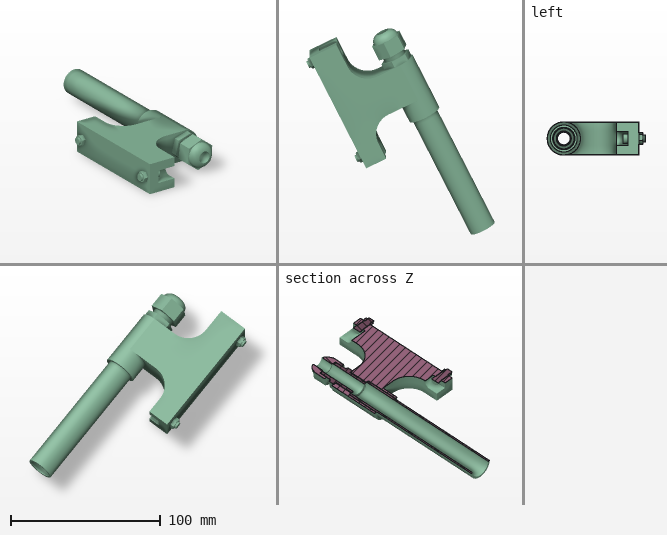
import cadquery as cq
import math

TOTAL_LENGTH = 159.0

FOOT_LENGTH = 85.0
FOOT_LEFT = TOTAL_LENGTH - FOOT_LENGTH
FOOT_FRONT = -50.2
LEFT_ARM_HEIGHT = 15.0
RIGHT_ARM_HEIGHT = 20.0
STEM_LENGTH = 26.9
ARM_FILLET = 15.0
SLEEVE_DIAMETER = 22.3
FLAT_HALF_WIDTH = 1.7
BRACKET_THICKNESS = 2 * math.sqrt((SLEEVE_DIAMETER / 2) ** 2 - FLAT_HALF_WIDTH**2)
SLEEVE_LENGTH = 39.9
SLEEVE_LEFT = 87.5
SLEEVE_RIGHT = SLEEVE_LEFT + SLEEVE_LENGTH
STEM_LEFT = SLEEVE_RIGHT - STEM_LENGTH

TUBE_DIAMETER = 18.0
TUBE_BORE = 15.0
SOCKET_DEPTH = 25.0
TUBE_LENGTH = SLEEVE_LEFT + SOCKET_DEPTH

THREAD_HOLE = 14.0
THREAD_DIAMETER = 13.8
GLAND_BORE = 10.0
GLAND_HEX_FLATS = 18.1
GLAND_HEX_LENGTH = 4.5
GLAND_HEX_ANGLE = 16.6
NECK_DIAMETER = 15.5
CAP_GAP = 3.3
CAP_HEX_FLATS = 19.1
CAP_HEX_LENGTH = 10.5
CAP_HEX_ANGLE = 22.3
DOME_DIAMETER = 18.0
DOME_LENGTH = 5.2
DOME_ARC_RADIUS = 5.7
CAP_HOLE = 8.5
NECK_IN_CAP = 6.4
CAP_LEFT = SLEEVE_RIGHT + GLAND_HEX_LENGTH + CAP_GAP
NECK_END = CAP_LEFT + NECK_IN_CAP

LEFT_SCREW_INSET = 6.5
RIGHT_SCREW_INSET = 6.2
SCREW_DIAMETER = 5.0
SCREW_OVERHANG = 4.3
HEAD_DIAMETER = 6.4
HEAD_HEIGHT = 3.3
SLOT_WIDTH = 9.0
SLOT_FLOOR_THICKNESS = 7.2
NUT_FLATS = 6.8
NUT_CHAMFER = 0.5
NUT_HEIGHT = 2.9
LEFT_NUT_ANGLE = 20.0
RIGHT_NUT_ANGLE = 6.7
SLOT_FLOOR = FOOT_FRONT + SLOT_FLOOR_THICKNESS
LEFT_SCREW_X = FOOT_LEFT + LEFT_SCREW_INSET
RIGHT_SCREW_X = TOTAL_LENGTH - RIGHT_SCREW_INSET


def rod(diameter, start, end):
    """Cylinder on the X axis between two X positions."""
    return cq.Workplane("YZ", origin=(start, 0, 0)).circle(diameter / 2).extrude(end - start)


def hexagon(plane, flats, angle, length):
    """Hexagonal prism with one corner turned by the angle from the plane's local X."""
    corners = flats / math.cos(math.radians(30))
    return plane.transformed(rotate=(0, 0, angle)).polygon(6, corners).extrude(length)


def front_plane(x, y):
    """Plane at a screw axis that faces -Y, with local X along +X."""
    return cq.Workplane("XZ", origin=(x, y, 0))


def head_slot(screw_x, arm_end):
    """Slot for a screw head: round about the screw and open at the end of its arm."""
    depth = RIGHT_ARM_HEIGHT - SLOT_FLOOR_THICKNESS
    round_end = front_plane(screw_x, SLOT_FLOOR).circle(SLOT_WIDTH / 2).extrude(-depth)
    channel = (
        front_plane((screw_x + arm_end) / 2, SLOT_FLOOR)
        .rect(abs(arm_end - screw_x), SLOT_WIDTH)
        .extrude(-depth)
    )
    return round_end.union(channel)


def make_bracket():
    left_arm_top = FOOT_FRONT + LEFT_ARM_HEIGHT
    right_arm_top = FOOT_FRONT + RIGHT_ARM_HEIGHT
    plate = (
        cq.Workplane("XY", origin=(0, 0, -BRACKET_THICKNESS / 2))
        .moveTo(FOOT_LEFT, FOOT_FRONT)
        .lineTo(TOTAL_LENGTH, FOOT_FRONT)
        .lineTo(TOTAL_LENGTH, right_arm_top)
        .lineTo(SLEEVE_RIGHT + ARM_FILLET, right_arm_top)
        .radiusArc((SLEEVE_RIGHT, right_arm_top + ARM_FILLET), ARM_FILLET)
        .lineTo(SLEEVE_RIGHT, 0)
        .lineTo(STEM_LEFT, 0)
        .lineTo(STEM_LEFT, left_arm_top + ARM_FILLET)
        .radiusArc((STEM_LEFT - ARM_FILLET, left_arm_top), ARM_FILLET)
        .lineTo(FOOT_LEFT, left_arm_top)
        .close()
        .extrude(BRACKET_THICKNESS)
    )
    sleeve = rod(SLEEVE_DIAMETER, SLEEVE_LEFT, SLEEVE_RIGHT)
    flat_slab = cq.Workplane("XY").box(STEM_LENGTH, SLEEVE_DIAMETER, SLEEVE_DIAMETER)
    slab_x = (STEM_LEFT + SLEEVE_RIGHT) / 2
    slab_z = (BRACKET_THICKNESS + SLEEVE_DIAMETER) / 2
    for side in (-1, 1):
        sleeve = sleeve.cut(flat_slab.translate((slab_x, 0, side * slab_z)))
    bracket = plate.union(sleeve)
    bracket = bracket.cut(rod(TUBE_DIAMETER, SLEEVE_LEFT, TUBE_LENGTH))
    bracket = bracket.cut(rod(THREAD_HOLE, TUBE_LENGTH, SLEEVE_RIGHT))
    for screw_x, arm_end in ((LEFT_SCREW_X, FOOT_LEFT), (RIGHT_SCREW_X, TOTAL_LENGTH)):
        screw_hole = front_plane(screw_x, SLOT_FLOOR).circle(SCREW_DIAMETER / 2).extrude(SLOT_FLOOR_THICKNESS)
        bracket = bracket.cut(screw_hole).cut(head_slot(screw_x, arm_end))
    return bracket


def make_tube():
    return rod(TUBE_DIAMETER, 0, TUBE_LENGTH).cut(rod(TUBE_BORE, 0, TUBE_LENGTH))


def make_gland_body():
    hex_plane = cq.Workplane("YZ", origin=(SLEEVE_RIGHT, 0, 0))
    body = hexagon(hex_plane, GLAND_HEX_FLATS, GLAND_HEX_ANGLE, GLAND_HEX_LENGTH)
    body = body.union(rod(THREAD_DIAMETER, TUBE_LENGTH, SLEEVE_RIGHT))
    body = body.union(rod(NECK_DIAMETER, SLEEVE_RIGHT, NECK_END))
    return body.cut(rod(GLAND_BORE, TUBE_LENGTH, NECK_END))


def make_gland_cap():
    dome_start = CAP_LEFT + CAP_HEX_LENGTH
    dome_end = dome_start + DOME_LENGTH
    hex_plane = cq.Workplane("YZ", origin=(CAP_LEFT, 0, 0))
    cap = hexagon(hex_plane, CAP_HEX_FLATS, CAP_HEX_ANGLE, CAP_HEX_LENGTH)
    dome = (
        cq.Workplane("XY")
        .moveTo(dome_start, 0)
        .lineTo(dome_start, DOME_DIAMETER / 2)
        .radiusArc((dome_end, CAP_HOLE / 2), DOME_ARC_RADIUS)
        .lineTo(dome_end, 0)
        .close()
        .revolve(360, (0, 0, 0), (1, 0, 0))
    )
    cap = cap.union(dome)
    return cap.cut(rod(NECK_DIAMETER, CAP_LEFT, NECK_END)).cut(rod(CAP_HOLE, NECK_END, dome_end))


def make_screw(screw_x):
    head = front_plane(screw_x, SLOT_FLOOR).circle(HEAD_DIAMETER / 2).extrude(-HEAD_HEIGHT)
    shank_length = SLOT_FLOOR_THICKNESS + SCREW_OVERHANG
    shank = front_plane(screw_x, SLOT_FLOOR).circle(SCREW_DIAMETER / 2).extrude(shank_length)
    return head.union(shank)


def make_nut(screw_x, angle):
    nut = hexagon(front_plane(screw_x, FOOT_FRONT), NUT_FLATS, angle, NUT_HEIGHT)
    corner_radius = NUT_FLATS / 2 / math.cos(math.radians(30))
    chamfered_blank = (
        front_plane(screw_x, FOOT_FRONT)
        .circle(corner_radius)
        .extrude(NUT_HEIGHT)
        .faces("<Y")
        .chamfer(NUT_CHAMFER)
    )
    nut = nut.intersect(chamfered_blank)
    return nut.cut(front_plane(screw_x, FOOT_FRONT).circle(SCREW_DIAMETER / 2).extrude(NUT_HEIGHT))


bracket = make_bracket()
tube = make_tube()
gland_body = make_gland_body()
gland_cap = make_gland_cap()
screws = [make_screw(x) for x in (LEFT_SCREW_X, RIGHT_SCREW_X)]
nuts = [make_nut(LEFT_SCREW_X, LEFT_NUT_ANGLE), make_nut(RIGHT_SCREW_X, RIGHT_NUT_ANGLE)]

result = cq.Compound.makeCompound(
    [body.val() for body in (bracket, tube, gland_body, gland_cap, *screws, *nuts)]
)